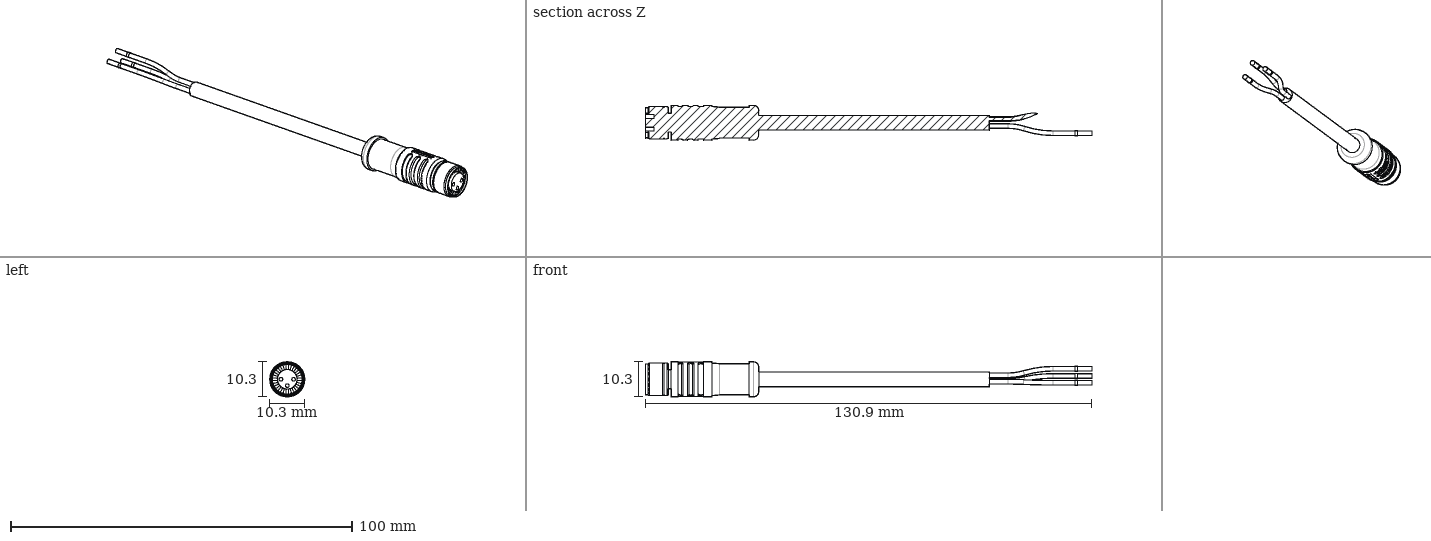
import cadquery as cq
import math

RAISED_START = 0.8
RAISED_END = 5.1
NUT_LENGTH = 6.75
EDGE_BEVEL = 0.4
GRIP_START = 7.55
GRIP_RECESS_START = 9.6
GRIP_RECESS_END = 17.1
GRIP_END = 19.5
TAPER_END = 21.75
COLLAR_START = 30.4
BODY_END = 33.25
CABLE_END = 100.8
WIRE_BEND_START = 106.3
WIRE_BEND_MIDDLE = 111.0
WIRE_BEND_END = 119.5
BAND_START = 125.9
BAND_END = 126.7
TOTAL_LENGTH = 130.95

NUT_RIM_DIA = 9.1
NUT_DIA = 9.6
NECK_DIA = 5.65
GRIP_DIA = 10.3
GROOVE_DIA = 9.6
SLEEVE_DIA = 9.2
TAIL_DIA = 7.2
CABLE_DIA = 4.4
WIRE_DIA = 1.4
BAND_DIA = 1.5

TAIL_ROUND = (GRIP_DIA - TAIL_DIA) / 2
COLLAR_END = BODY_END - TAIL_ROUND

MOUTH_DIA = 8.7
INSERT_DIA = 5.72
SOCKET_DEPTH = 3.0
TOOTH_COUNT = 16
TOOTH_HEIGHT = 2.0
CONTACT_DIA = 1.07
CONTACT_CIRCLE_RADIUS = 1.85
CONTACT_DEPTH = 2.5
CONTACT_ANGLES = (0, 180, 270)

GROOVE_BEVEL = 0.4
GRIP_GROOVES = (
    (GRIP_RECESS_START, 10.65, 0, GROOVE_BEVEL),
    (12.75, 13.8, GROOVE_BEVEL, GROOVE_BEVEL),
    (15.5, GRIP_RECESS_END, 0, 0),
)
GROOVE_TIP_Y = 1.3
GROOVE_FULL_Y = 2.1
PAD_WIDTH = 1.3
PAD_HEIGHT = 4.75

WIRE_CIRCLE_RADIUS = 1.2
WIRES = (
    (98, (-0.75, 3.1)),
    (218, (-3.05, -1.0)),
    (338, (3.1, 1.0)),
)


def x_cylinder(diameter, start, end, y=0.0, z=0.0):
    """Cylinder parallel to X between two stations."""
    plane = cq.Plane(origin=(start, y, z), xDir=(0, 1, 0), normal=(1, 0, 0))
    return cq.Workplane(plane).circle(diameter / 2).extrude(end - start)


def revolve_about_x(profile):
    return profile.close().revolve(360, (0, 0, 0), (1, 0, 0))


def make_nut():
    rim = NUT_RIM_DIA / 2
    outer = NUT_DIA / 2
    profile = (
        cq.Workplane("XY")
        .lineTo(0, rim)
        .lineTo(RAISED_START, rim)
        .lineTo(RAISED_START + EDGE_BEVEL, outer)
        .lineTo(RAISED_END, outer)
        .lineTo(RAISED_END + EDGE_BEVEL, rim)
        .lineTo(RAISED_END + EDGE_BEVEL, outer)
        .lineTo(NUT_LENGTH - EDGE_BEVEL, outer)
        .lineTo(NUT_LENGTH, rim)
        .lineTo(NUT_LENGTH, 0)
    )
    return revolve_about_x(profile)


def make_socket():
    """Ring-shaped cavity around the insert, less the teeth standing on its floor."""
    cavity = x_cylinder(MOUTH_DIA, 0, SOCKET_DEPTH).cut(x_cylinder(INSERT_DIA, 0, SOCKET_DEPTH))
    half_angle = math.pi / TOOTH_COUNT / 2
    reach = MOUTH_DIA
    for i in range(TOOTH_COUNT):
        tooth = (
            cq.Workplane("YZ", origin=(SOCKET_DEPTH - TOOTH_HEIGHT, 0, 0))
            .lineTo(reach * math.cos(half_angle), -reach * math.sin(half_angle))
            .lineTo(reach * math.cos(half_angle), reach * math.sin(half_angle))
            .close()
            .extrude(TOOTH_HEIGHT)
            .rotate((0, 0, 0), (1, 0, 0), i * 360 / TOOTH_COUNT)
        )
        cavity = cavity.cut(tooth)
    return cavity


def make_contacts():
    """Round sockets in the insert, one per contact."""
    contacts = cq.Workplane("XY")
    for angle in CONTACT_ANGLES:
        y = CONTACT_CIRCLE_RADIUS * math.cos(math.radians(angle))
        z = CONTACT_CIRCLE_RADIUS * math.sin(math.radians(angle))
        contacts = contacts.add(x_cylinder(CONTACT_DIA, 0, CONTACT_DEPTH, y, z))
    return contacts.combine()


def make_body():
    grip = GRIP_DIA / 2
    shoulder_drop = (GROOVE_DIA - SLEEVE_DIA) / 2
    shoulder_middle = ((GRIP_END + TAPER_END) / 2, GROOVE_DIA / 2 - shoulder_drop / 4)
    profile = (
        cq.Workplane("XY")
        .moveTo(GRIP_START, 0)
        .lineTo(GRIP_START, grip)
        .lineTo(GRIP_END, grip)
        .lineTo(GRIP_END, GROOVE_DIA / 2)
        .threePointArc(shoulder_middle, (TAPER_END, SLEEVE_DIA / 2))
        .lineTo(COLLAR_START, SLEEVE_DIA / 2)
        .lineTo(COLLAR_START, grip)
        .lineTo(COLLAR_END, grip)
        .tangentArcPoint((BODY_END, TAIL_DIA / 2), relative=False)
        .lineTo(BODY_END, 0)
    )
    return revolve_about_x(profile)


def make_groove(floor_start, floor_end, bevel_before, bevel_after):
    """Groove ring with bevelled walls, kept only on the +Y and -Y flanks with pointed ends."""
    rim_start = floor_start - bevel_before
    rim_end = floor_end + bevel_after
    profile = (
        cq.Workplane("XY")
        .moveTo(floor_start, GROOVE_DIA / 2)
        .lineTo(rim_start, GRIP_DIA / 2)
        .lineTo(rim_start, GRIP_DIA)
        .lineTo(rim_end, GRIP_DIA)
        .lineTo(rim_end, GRIP_DIA / 2)
        .lineTo(floor_end, GROOVE_DIA / 2)
    )
    ring = revolve_about_x(profile)
    flank = (
        cq.Workplane("XY")
        .moveTo((rim_start + rim_end) / 2, GROOVE_TIP_Y)
        .lineTo(rim_end, GROOVE_FULL_Y)
        .lineTo(rim_end, GRIP_DIA)
        .lineTo(rim_start, GRIP_DIA)
        .lineTo(rim_start, GROOVE_FULL_Y)
        .close()
        .extrude(GRIP_DIA, both=True)
    )
    return ring.intersect(flank.union(flank.mirror("XZ")))


def make_pad_recesses():
    """Flat-bottomed strips along the top and bottom of the grip."""
    length = GRIP_RECESS_END - GRIP_RECESS_START
    middle = (GRIP_RECESS_START + GRIP_RECESS_END) / 2
    strip = (
        cq.Workplane("XY", origin=(middle, 0, PAD_HEIGHT))
        .rect(length, PAD_WIDTH)
        .extrude(GRIP_DIA)
    )
    return strip.union(strip.mirror("XY"))


def make_wire(start, end):
    """Insulated conductor: straight, an S-bend of two arcs, then straight to the free end."""
    dy = end[0] - start[0]
    dz = end[1] - start[1]
    offset = math.hypot(dy, dz)
    first_arc = WIRE_BEND_MIDDLE - WIRE_BEND_START
    second_arc = WIRE_BEND_END - WIRE_BEND_MIDDLE
    first_rise = offset * first_arc / (first_arc + second_arc)
    plane = cq.Plane(
        origin=(CABLE_END, start[0], start[1]), xDir=(1, 0, 0), normal=(0, -dz, dy)
    )
    path = (
        cq.Workplane(plane)
        .lineTo(WIRE_BEND_START - CABLE_END, 0)
        .tangentArcPoint((first_arc, first_rise))
        .tangentArcPoint((second_arc, offset - first_rise))
        .lineTo(TOTAL_LENGTH - CABLE_END, offset)
    )
    section = cq.Workplane(
        cq.Plane(origin=(CABLE_END, start[0], start[1]), xDir=(0, 1, 0), normal=(1, 0, 0))
    )
    return section.circle(WIRE_DIA / 2).sweep(path)


def make_wires():
    """All conductors, each with its band, as a list."""
    wires = []
    for angle, end in WIRES:
        start = (
            WIRE_CIRCLE_RADIUS * math.cos(math.radians(angle)),
            WIRE_CIRCLE_RADIUS * math.sin(math.radians(angle)),
        )
        band = x_cylinder(BAND_DIA, BAND_START, BAND_END, *end)
        wires.append(make_wire(start, end).union(band))
    return wires


nut = make_nut().cut(make_socket()).cut(make_contacts())
neck = x_cylinder(NECK_DIA, NUT_LENGTH, GRIP_START)
body = make_body().cut(make_pad_recesses())
for groove in GRIP_GROOVES:
    body = body.cut(make_groove(*groove))
cable = x_cylinder(CABLE_DIA, BODY_END, CABLE_END)

result = nut.union(neck).union(body).union(cable)
for wire in make_wires():
    result = result.union(wire)